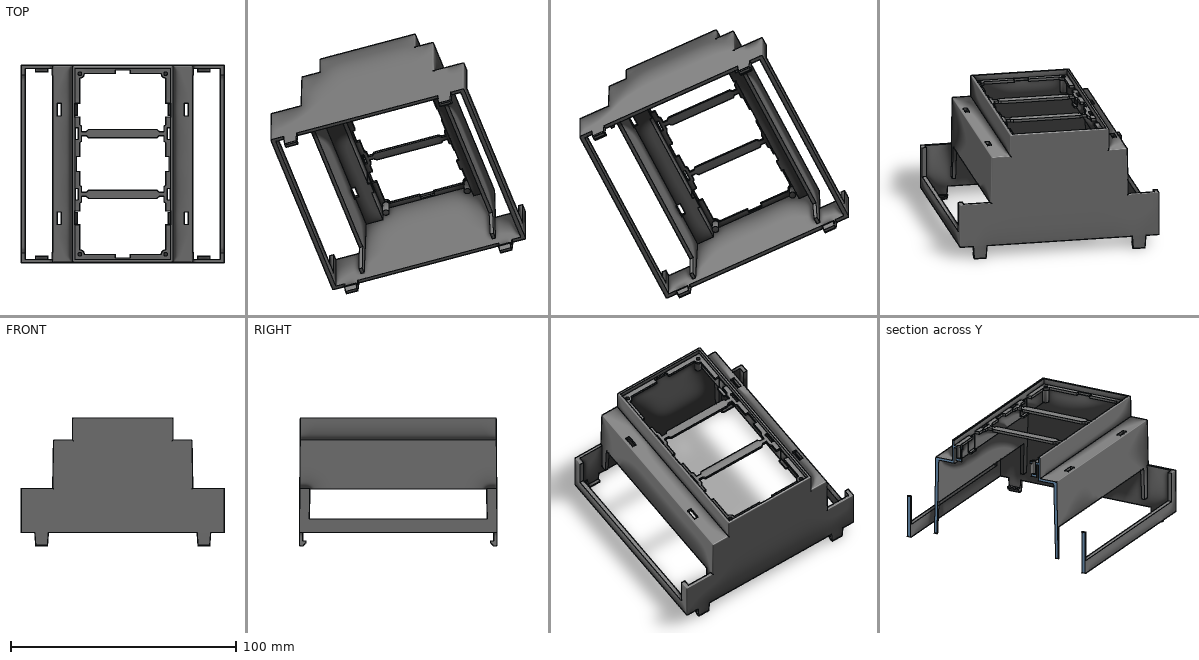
import cadquery as cq

length = 90.2
width_bottom = 87.8
width_top = 86.95
ledge_z = 19.7
wall_foot_z = 19.3
shoulder_z = 41.1
top_z = 50.9
middle_length_bottom = 63.0
middle_length_top = 61.5
upper_length = 44.7
edge_radius = 0.5
ledge_radius = 0.3

cavity_width = 84.6
lower_cavity_length = 86.4
middle_cavity_length_bottom = 60.1
middle_cavity_length_top = 57.9
upper_cavity_length = 42.4
shoulder_thickness = 1.4
shoulder_under_z = shoulder_z - shoulder_thickness

window_width = 78.8
window_sill_z = 6.1

leg_foot_z = 4.3
leg_inner_y_top = 39.1
leg_inner_y_foot = 39.5

frame_recess = 2.4
frame_top_z = top_z - frame_recess
frame_thickness = 1.2
frame_under_z = frame_top_z - frame_thickness
frame_opening_length = 38.1
frame_opening_width = 80.1
end_notch_length = 6.5
end_notch_width = 83.3
middle_notch_length = 40.95
middle_notch_width = 6.5
latch_notch_width = 5.95
latch_notch_y = 23.9
latch_y = 24.1
recess_depth = 0.3

bar_y = 13.4
bar_half_length = 16.15
bar_half_width = 1.9
bar_bevel = 1.0
neck_width = 1.9
tab_inner_x = 18.2
tab_half_width = 3.25
tab_bevel = 0.8
tab_slot_outer_x = 21.0
tab_slot_inner_x = 19.75
tab_slot_width = 5.05

boss_x = 19.0
boss_y = 40.05
boss_radius = 1.4
boss_pad_radius = 2.0
boss_hole_radius = 0.8
boss_length = 7.2
boss_hole_depth = 5.9

lip_inner_x = 20.1
lip_width = 5.1
lip_top_z = 40.4
slot_outer_x = 29.2
slot_inner_x = 27.3
slot_width = 5.5
slot_depth = 2.7

hook_drop = 5.95
hook_x = 36.0
hook_root_length = 6.1
hook_tip_length = 5.2
barb_inner_y = 40.9
barb_z = -3.7
barb_tip_z = -4.3
hook_nose_inner_y = 42.2
hook_nose_outer_y = 43.4
hook_nose_z = -5.6


def box(x0, x1, y0, y1, z0, z1):
    """Axis-aligned block between two opposite corners."""
    return cq.Workplane("XY").box(x1 - x0, y1 - y0, z1 - z0, centered=False).translate((x0, y0, z0))


def centred_box(x_size, y_size, z0, z1):
    """Block centred on the Z axis."""
    return box(-x_size / 2, x_size / 2, -y_size / 2, y_size / 2, z0, z1)


def trapezoid(plane, bottom, top, height):
    """Upright trapezoid on a vertical plane, standing on Z = 0."""
    outline = [(-bottom / 2, 0), (bottom / 2, 0), (top / 2, height), (-top / 2, height)]
    return cq.Workplane(plane).polyline(outline).close()


def tapered_box(x_bottom, y_bottom, x_top, y_top, height):
    """Block standing on Z = 0 with drafted sides."""
    along_x = trapezoid("XZ", x_bottom, x_top, height).extrude(y_bottom / 2, both=True)
    along_y = trapezoid("YZ", y_bottom, y_top, height).extrude(x_bottom / 2, both=True)
    return along_x.intersect(along_y)


def at_corners(shape):
    """The shape together with its mirror images in all four quadrants."""
    half = shape.union(shape.mirror("YZ"))
    return half.union(half.mirror("XZ"))


def outer_tier(length_bottom, length_top, height, top_radius):
    """Solid tier from the rim up, with rounded corners and top edges."""
    tier_width = width_bottom + (width_top - width_bottom) * height / top_z
    tier = tapered_box(length_bottom, width_bottom, length_top, tier_width, height)
    tier = tier.edges("not(#Z)").fillet(edge_radius)
    return tier.faces(">Z").edges().fillet(top_radius)


def make_shell():
    """Stepped outer body hollowed out, with open end windows and an open top."""
    lower = outer_tier(length, length, ledge_z, ledge_radius)
    lower = lower.cut(centred_box(lower_cavity_length, cavity_width, 0, ledge_z))
    middle = outer_tier(middle_length_bottom, middle_length_top, shoulder_z, edge_radius)
    middle = middle.cut(centred_box(lower_cavity_length, cavity_width, 0, wall_foot_z))
    upper = outer_tier(upper_length, upper_length, top_z, edge_radius)
    upper = upper.cut(centred_box(upper_cavity_length, cavity_width, 0, top_z))
    body = lower.union(middle).cut(centred_box(upper_cavity_length, cavity_width, 0, top_z))
    body = body.union(upper)
    body = body.cut(make_middle_cavity())
    for side in (-1, 1):
        window = centred_box(length - lower_cavity_length, window_width, window_sill_z, ledge_z)
        body = body.cut(window.translate((side * length / 2, 0, 0)))
    return body


def make_middle_cavity():
    return tapered_box(
        middle_cavity_length_bottom, cavity_width,
        middle_cavity_length_top, cavity_width,
        shoulder_under_z,
    )


def make_legs():
    """Four tapered corner legs continuing the middle tier walls downwards."""
    wall = outer_tier(middle_length_bottom, middle_length_top, shoulder_z, edge_radius)
    wall = wall.cut(make_middle_cavity())
    leg = (
        cq.Workplane("YZ")
        .polyline([
            (leg_inner_y_foot, leg_foot_z),
            (cavity_width / 2, leg_foot_z),
            (cavity_width / 2, wall_foot_z),
            (leg_inner_y_top, wall_foot_z),
        ])
        .close()
        .extrude(length / 2)
    )
    return at_corners(leg).intersect(wall)


def make_cross_bar():
    """Bar along X with bevelled ends and a narrow neck at each end."""
    flat_half_length = bar_half_length - bar_bevel
    neck_half = neck_width / 2
    outline = [
        (bar_half_length, neck_half),
        (flat_half_length, bar_half_width),
        (-flat_half_length, bar_half_width),
        (-bar_half_length, neck_half),
        (-bar_half_length, -neck_half),
        (-flat_half_length, -bar_half_width),
        (flat_half_length, -bar_half_width),
        (bar_half_length, -neck_half),
    ]
    bar = cq.Workplane("XY").polyline(outline).close().extrude(frame_thickness)
    neck = centred_box(2 * tab_inner_x, neck_width, 0, frame_thickness)
    return bar.union(neck)


def make_root_tab():
    """Widened piece of the frame where a cross bar meets it, on the +X side."""
    root_x = frame_opening_length / 2
    outline = [
        (root_x, tab_half_width + tab_bevel),
        (tab_inner_x, tab_half_width),
        (tab_inner_x, -tab_half_width),
        (root_x, -tab_half_width - tab_bevel),
    ]
    return cq.Workplane("XY").polyline(outline).close().extrude(frame_thickness)


def make_frame():
    """Notched frame with two cross bars."""
    frame = centred_box(upper_cavity_length, cavity_width, frame_under_z, frame_top_z)
    openings = [
        (frame_opening_length, frame_opening_width),
        (end_notch_length, end_notch_width),
        (middle_notch_length, middle_notch_width),
    ]
    for x_size, y_size in openings:
        frame = frame.cut(centred_box(x_size, y_size, frame_under_z, frame_top_z))
    for y in (-latch_notch_y, latch_notch_y):
        notch = centred_box(upper_cavity_length, latch_notch_width, frame_under_z, frame_top_z)
        frame = frame.cut(notch.translate((0, y, 0)))
    pad = cq.Workplane("XY").center(boss_x, boss_y).circle(boss_pad_radius).extrude(frame_thickness)
    frame = frame.union(at_corners(pad.translate((0, 0, frame_under_z))))
    tab = make_root_tab()
    bar = make_cross_bar().union(tab).union(tab.mirror("YZ"))
    for y in (-bar_y, bar_y):
        frame = frame.union(bar.translate((0, y, frame_under_z)))
    tab_slot = box(
        tab_slot_inner_x, tab_slot_outer_x,
        bar_y - tab_slot_width / 2, bar_y + tab_slot_width / 2,
        frame_under_z, frame_top_z,
    )
    return frame.cut(at_corners(tab_slot))


def make_bosses():
    boss = cq.Workplane("XY").center(boss_x, boss_y).circle(boss_radius).extrude(boss_length)
    boss = boss.translate((0, 0, frame_top_z - boss_length))
    return at_corners(boss)


def make_boss_holes():
    hole = cq.Workplane("XY").center(boss_x, boss_y).circle(boss_hole_radius).extrude(boss_hole_depth)
    hole = hole.translate((0, 0, frame_top_z - boss_hole_depth))
    return at_corners(hole)


def make_lips():
    """Small lips on the shoulder edges, below the latch notches."""
    lip = box(
        lip_inner_x, upper_cavity_length / 2,
        latch_y - lip_width / 2, latch_y + lip_width / 2,
        shoulder_under_z, lip_top_z,
    )
    return at_corners(lip)


def make_wall_recesses():
    """Shallow recesses in the upper tier walls, between the lips and the frame."""
    inner_x = upper_cavity_length / 2
    recess = box(
        inner_x, inner_x + recess_depth,
        latch_notch_y - latch_notch_width / 2, latch_notch_y + latch_notch_width / 2,
        lip_top_z, frame_under_z,
    )
    return at_corners(recess)


def make_shoulder_slots():
    slot = box(
        slot_inner_x, slot_outer_x,
        latch_y - slot_width / 2, latch_y + slot_width / 2,
        shoulder_z - slot_depth, shoulder_z,
    )
    return at_corners(slot)


def make_hooks():
    """Four snap hooks, tapered along X, with barbs pointing inwards."""
    outer_y = width_bottom / 2
    stem_inner_y = cavity_width / 2
    side_outline = [
        (outer_y, 0),
        (outer_y, hook_nose_z),
        (hook_nose_outer_y, -hook_drop),
        (hook_nose_inner_y, -hook_drop),
        (barb_inner_y, barb_tip_z),
        (barb_inner_y, barb_z),
        (stem_inner_y, barb_z),
        (stem_inner_y, 0),
    ]
    front_outline = [
        (hook_x - hook_root_length / 2, 0),
        (hook_x + hook_root_length / 2, 0),
        (hook_x + hook_tip_length / 2, -hook_drop),
        (hook_x - hook_tip_length / 2, -hook_drop),
    ]
    side = cq.Workplane("YZ").polyline(side_outline).close().extrude(length / 2)
    front = cq.Workplane("XZ").polyline(front_outline).close().extrude(-outer_y)
    return at_corners(side.intersect(front))


result = make_shell()
for addition in (make_legs(), make_frame(), make_bosses(), make_lips(), make_hooks()):
    result = result.union(addition)
result = result.cut(make_boss_holes()).cut(make_shoulder_slots()).cut(make_wall_recesses())